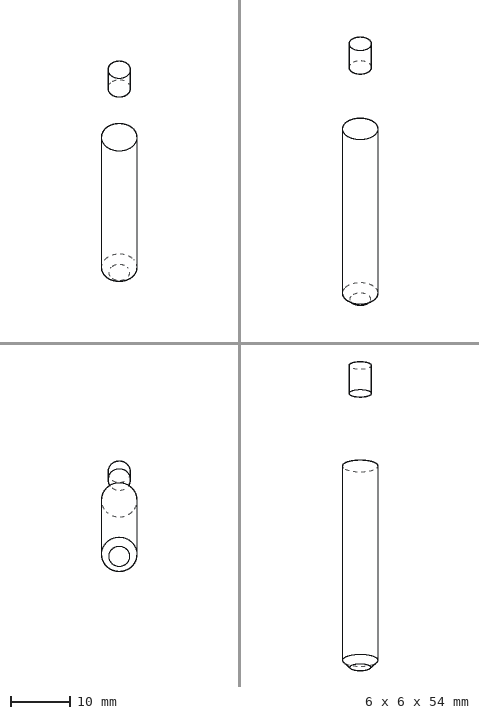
import cadquery as cq

total_height = 54.0

rod_diameter = 6.0
rod_length = 36.0
tip_diameter = 3.5
taper_height = 1.25

pin_diameter = 3.8
pin_length = 5.0
pin_bottom = total_height - pin_length


def make_rod():
    """Solid of revolution: plain cylinder standing on a conical tip."""
    rod_radius = rod_diameter / 2
    tip_radius = tip_diameter / 2
    profile = (
        cq.Workplane("XZ")
        .moveTo(0, 0)
        .lineTo(tip_radius, 0)
        .lineTo(rod_radius, taper_height)
        .lineTo(rod_radius, rod_length)
        .lineTo(0, rod_length)
        .close()
    )
    return profile.revolve(360, (0, 0, 0), (0, 1, 0))


def make_pin():
    """Plain cylinder whose top face sets the overall height."""
    return (
        cq.Workplane("XY")
        .workplane(offset=pin_bottom)
        .circle(pin_diameter / 2)
        .extrude(pin_length)
    )


rod = make_rod()
pin = make_pin()

result = cq.Compound.makeCompound([rod.val(), pin.val()])